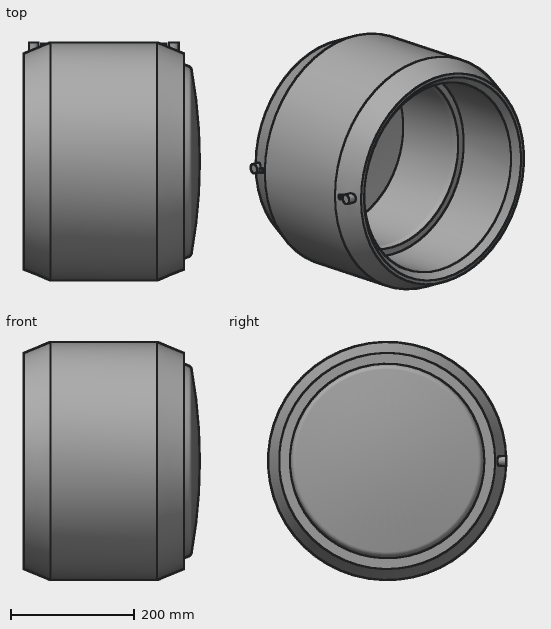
import cadquery as cq
import math

sleeve_length = 260.0
sleeve_radius = 386.0 / 2
sleeve_end_radius = 175.0
taper_length = 43.5
bore_radius = 315.0 / 2
mouth_radius = 168.5
mouth_depth = 12.0

overall_length = 285.73
cap_start = 128.5
cap_mouth_radius = 291.33 / 2
cap_bore_radius = 143.2
cap_mouth_depth = 10.0
cap_wall = bore_radius - cap_mouth_radius

dome_base_radius = 297.25 / 2
dome_height = 13.4
dome_base_x = overall_length - dome_height
dome_sphere_radius = (dome_base_radius**2 + dome_height**2) / (2 * dome_height)
inner_sphere_radius = dome_sphere_radius - cap_wall
sphere_centre_x = overall_length - dome_sphere_radius

shoulder_angle = math.radians(25.0)
shoulder_start_direction = (math.cos(shoulder_angle), -math.sin(shoulder_angle))
shoulder_end_direction = (
    dome_base_radius / dome_sphere_radius,
    (sphere_centre_x - dome_base_x) / dome_sphere_radius,
)

terminal_diameter = 16.0
terminal_inset = 16.5
terminal_top = sleeve_radius
indicator_diameter = 8.0
indicator_inset = 32.2
indicator_top = 191.5
post_root = 170.0


def sphere_point(sphere_radius, y):
    """Point (x, y) of a dome sphere at distance y from the axis."""
    return (sphere_centre_x + math.sqrt(sphere_radius**2 - y**2), y)


def make_body():
    """Sleeve and domed cap as one turned body, hollow from the open mouth."""
    profile = (
        cq.Workplane("XY")
        .moveTo(0, mouth_radius)
        .lineTo(0, sleeve_end_radius)
        .lineTo(taper_length, sleeve_radius)
        .lineTo(sleeve_length - taper_length, sleeve_radius)
        .lineTo(sleeve_length, sleeve_end_radius)
        .lineTo(sleeve_length, bore_radius)
        .spline(
            [(dome_base_x, dome_base_radius)],
            tangents=[shoulder_start_direction, shoulder_end_direction],
            includeCurrent=True,
        )
        .threePointArc(
            sphere_point(dome_sphere_radius, dome_base_radius / 2),
            (overall_length, 0),
        )
        .lineTo(overall_length - cap_wall, 0)
        .threePointArc(
            sphere_point(inner_sphere_radius, cap_bore_radius / 2),
            sphere_point(inner_sphere_radius, cap_bore_radius),
        )
        .lineTo(cap_start + cap_mouth_depth, cap_bore_radius)
        .lineTo(cap_start, cap_mouth_radius)
        .lineTo(cap_start, bore_radius)
        .lineTo(mouth_depth, bore_radius)
        .close()
    )
    return profile.revolve(360, (0, 0, 0), (1, 0, 0))


def make_post(x, diameter, top):
    """Round post along +Y, rooted in the sleeve wall."""
    post = cq.Workplane("XZ", origin=(x, top, 0)).circle(diameter / 2)
    return post.extrude(top - post_root)


result = make_body()
for x in (terminal_inset, sleeve_length - terminal_inset):
    result = result.union(make_post(x, terminal_diameter, terminal_top))
for x in (indicator_inset, sleeve_length - indicator_inset):
    result = result.union(make_post(x, indicator_diameter, indicator_top))